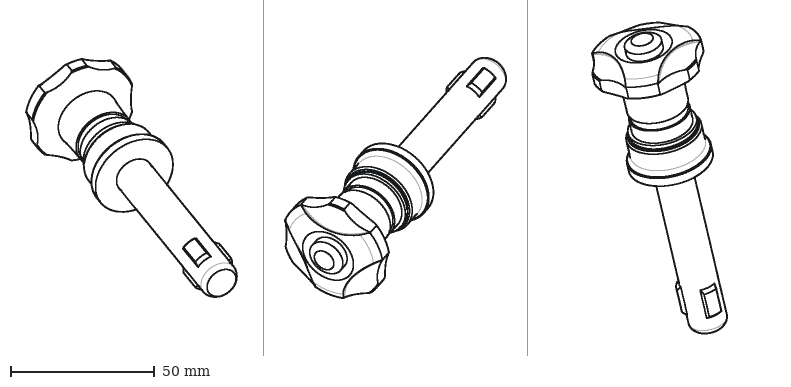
import cadquery as cq
import math


overall_length = 121.15
shank_length = 69.3
shank_radius = 6.9
tip_length = 2.3
tip_radius = 5.6
tip_bulge = 0.2

lug_count = 3
lug_radius = 8.25
lug_base_length = 12.5
lug_end_bevel = 1.5
lug_root_depth = 0.3
lug_tip_distance = 6.8
lug_top_width = 4.8
lug_base_width = 5.5

flange_radius = 15.05
flange_thickness = 3.7
flange_chamfer = 0.35
flange_fillet_radius = 2.0
flange_fillet_length = 1.9
body_radius = 13.45
body_front_x = -13.2
body_chamfer = 0.7
collar_groove_radius = 12.0
collar_groove_width = 0.5
collar_radius = 12.3
collar_length = 1.7
sleeve_radius = 10.9
sleeve_length = 5.2
neck_groove_radius = 10.2
neck_groove_width = 3.2

neck_end_radius = 10.95
neck_start_radius = 11.5
neck_length = 13.0
neck_sag = 0.2
knob_radius = 20.0
knob_back_length = 3.6
knob_back_sag = 0.5
rim_width = 5.2
rim_back_chamfer = 0.4
bevel_length = 1.5
bevel_inner_radius = 17.0
dome_length = 1.9
dome_inner_radius = 10.1
dome_bulge = 0.3
recess_depth = 1.8

button_radius = 6.6
button_face_radius = 3.9
button_crown_length = 1.6
button_crown_bulge = 0.15

lobe_count = 3
short_lobe_angle = 94.0
scallop_offset_angle = 26.0
scallop_radius = 22.0
scallop_floor_radius = 18.2
panel_curve_radius = 30.5
panel_inner_radius = 11.2
panel_inner_setback = 0.5
panel_wall_fillet = 0.3
panel_rim_chamfer = 0.4
panel_outer_setback = 0.3
cutter_margin = 1.0

button_face_x = shank_length - overall_length
flange_front_x = -flange_thickness
collar_back_x = body_front_x - collar_groove_width
collar_front_x = collar_back_x - collar_length
sleeve_front_x = collar_front_x - sleeve_length
neck_back_x = sleeve_front_x - neck_groove_width
neck_front_x = neck_back_x - neck_length
rim_back_x = neck_front_x - knob_back_length
rim_front_x = rim_back_x - rim_width
dome_back_x = rim_front_x - bevel_length
dome_front_x = dome_back_x - dome_length


def middle(start, end, offset_x, offset_r):
    """Point halfway between two outline points, moved by the given offsets."""
    return ((start[0] + end[0]) / 2 + offset_x, (start[1] + end[1]) / 2 + offset_r)


def fillet_point(angle):
    """Point of the flange fillet, at an angle measured from its tangent start on the body."""
    return (
        flange_front_x - flange_fillet_length + flange_fillet_radius * math.sin(angle),
        body_radius + flange_fillet_radius * (1 - math.cos(angle)),
    )


def make_turned_body():
    """All turned surfaces of the pin, from the button face to the shank tip."""
    crown_start = (button_face_x, button_face_radius)
    crown_end = (button_face_x + button_crown_length, button_radius)
    dome_start = (dome_front_x, dome_inner_radius)
    dome_end = (dome_back_x, bevel_inner_radius)
    back_start = (rim_back_x, knob_radius - rim_back_chamfer)
    back_end = (neck_front_x, neck_start_radius)
    neck_end = (neck_back_x, neck_end_radius)
    fillet_angle = math.asin(flange_fillet_length / flange_fillet_radius)
    fillet_start = fillet_point(0)
    fillet_end = fillet_point(fillet_angle)
    tip_start = (shank_length - tip_length, shank_radius)
    tip_end = (shank_length, tip_radius)
    outline = (
        cq.Workplane("XY")
        .moveTo(button_face_x, 0)
        .lineTo(*crown_start)
        .threePointArc(middle(crown_start, crown_end, -button_crown_bulge, button_crown_bulge), crown_end)
        .lineTo(dome_front_x + recess_depth, button_radius)
        .lineTo(*dome_start)
        .threePointArc(middle(dome_start, dome_end, -dome_bulge, 0), dome_end)
        .lineTo(rim_front_x, knob_radius)
        .lineTo(rim_back_x - rim_back_chamfer, knob_radius)
        .lineTo(*back_start)
        .threePointArc(middle(back_start, back_end, 0, -knob_back_sag), back_end)
        .threePointArc(middle(back_end, neck_end, 0, -neck_sag), neck_end)
        .lineTo(neck_back_x, neck_groove_radius)
        .lineTo(sleeve_front_x, neck_groove_radius)
        .lineTo(sleeve_front_x, sleeve_radius)
        .lineTo(collar_front_x, sleeve_radius)
        .lineTo(collar_front_x, collar_radius)
        .lineTo(collar_back_x, collar_radius)
        .lineTo(collar_back_x, collar_groove_radius)
        .lineTo(body_front_x, collar_groove_radius)
        .lineTo(body_front_x, body_radius - body_chamfer)
        .lineTo(body_front_x + body_chamfer, body_radius)
        .lineTo(*fillet_start)
        .threePointArc(fillet_point(fillet_angle / 2), fillet_end)
        .lineTo(flange_front_x, flange_radius - flange_chamfer)
        .lineTo(flange_front_x + flange_chamfer, flange_radius)
        .lineTo(0, flange_radius)
        .lineTo(0, shank_radius)
        .lineTo(*tip_start)
        .threePointArc(middle(tip_start, tip_end, tip_bulge, tip_bulge), tip_end)
        .lineTo(shank_length, 0)
        .close()
    )
    return outline.revolve(360, (0, 0, 0), (1, 0, 0))


def make_side_cylinder(floor_radius, radius, angle, start_x, end_x):
    """Cylinder parallel to X whose nearest line to the axis lies at floor_radius."""
    distance = floor_radius + radius
    turn = math.radians(angle)
    centre = (distance * math.cos(turn), distance * math.sin(turn))
    return (
        cq.Workplane("YZ", origin=(start_x, 0, 0))
        .center(*centre)
        .circle(radius)
        .extrude(end_x - start_x)
    )


def make_panel_ring():
    """Ring of material in front of the cone on which the sunken panels lie."""
    inner_x = dome_front_x + panel_inner_setback
    outer_x = rim_front_x + panel_outer_setback
    slope = (outer_x - inner_x) / (knob_radius - panel_inner_radius)
    ring_inner_radius = dome_inner_radius
    ring_outer_radius = knob_radius + cutter_margin
    chamfer_start_radius = knob_radius - panel_rim_chamfer
    chamfer_start_x = outer_x + slope * (chamfer_start_radius - knob_radius)
    chamfer_end_x = chamfer_start_x + ring_outer_radius - chamfer_start_radius
    return (
        cq.Workplane("XY")
        .moveTo(button_face_x, ring_inner_radius)
        .lineTo(inner_x + slope * (ring_inner_radius - panel_inner_radius), ring_inner_radius)
        .lineTo(chamfer_start_x, chamfer_start_radius)
        .lineTo(chamfer_end_x, ring_outer_radius)
        .lineTo(button_face_x, ring_outer_radius)
        .close()
        .revolve(360, (0, 0, 0), (1, 0, 0))
    )


def short_lobe_angles():
    """Centre angles of the short lobes."""
    return [short_lobe_angle + index * 360 / lobe_count for index in range(lobe_count)]


def nearness_to_axis(edge):
    """Grows as the middle of an edge comes closer to the pin axis."""
    middle_point = edge.positionAt(0.5)
    return -math.hypot(middle_point.y, middle_point.z)


def make_panel_cutter(panel_ring, angle):
    """Cutter for one panel, rounded along the foot of the wall it leaves."""
    panel_area = make_side_cylinder(
        panel_inner_radius, panel_curve_radius, angle, button_face_x, rim_back_x
    )
    cutter = panel_ring.intersect(panel_area)
    floor = max(cutter.faces("%CONE").vals(), key=lambda face: face.Area())
    wall_foot = max(floor.Edges(), key=nearness_to_axis)
    return cutter.newObject([wall_foot]).fillet(panel_wall_fillet)


def cut_panels(body):
    """Sink a panel into the front of each short lobe."""
    panel_ring = make_panel_ring()
    for angle in short_lobe_angles():
        body = body.cut(make_panel_cutter(panel_ring, angle))
    return body


def cut_scallops(body):
    """Cut a grip scallop on either side of each short lobe."""
    for angle in short_lobe_angles():
        for side in (-1, 1):
            scallop = make_side_cylinder(
                scallop_floor_radius,
                scallop_radius,
                angle + side * scallop_offset_angle,
                button_face_x,
                neck_front_x,
            )
            body = body.cut(scallop)
    return body


def make_lug():
    """Locking lug on the +Y side: bevelled ends, tapered flanks and a round top."""
    end_x = shank_length - lug_tip_distance
    lug_root_radius = shank_radius - lug_root_depth
    start_x = end_x - lug_base_length
    turned_blank = (
        cq.Workplane("XY")
        .moveTo(start_x, 0)
        .lineTo(start_x, lug_root_radius)
        .lineTo(start_x + lug_end_bevel, lug_radius)
        .lineTo(end_x - lug_end_bevel, lug_radius)
        .lineTo(end_x, lug_root_radius)
        .lineTo(end_x, 0)
        .close()
        .revolve(360, (0, 0, 0), (1, 0, 0))
    )
    flank_slope = (lug_base_width - lug_top_width) / (lug_radius - shank_radius) / 2
    axis_half_width = lug_base_width / 2 + flank_slope * shank_radius
    top_half_width = lug_top_width / 2
    cross_section = (
        cq.Workplane("YZ", origin=(start_x, 0, 0))
        .moveTo(0, -axis_half_width)
        .lineTo(lug_radius, -top_half_width)
        .lineTo(lug_radius, top_half_width)
        .lineTo(0, axis_half_width)
        .close()
        .extrude(lug_base_length)
    )
    return turned_blank.intersect(cross_section)


def add_lugs(body):
    lug = make_lug()
    for index in range(lug_count):
        body = body.union(lug.rotate((0, 0, 0), (1, 0, 0), index * 360 / lug_count))
    return body


pin = make_turned_body()
pin = cut_panels(pin)
pin = cut_scallops(pin)
result = add_lugs(pin)